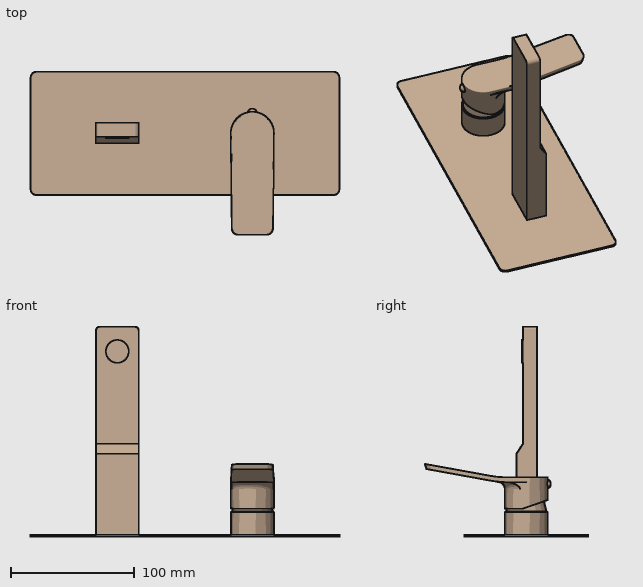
import cadquery as cq
import math

PLATE_LENGTH = 250.0
PLATE_WIDTH = 100.0
PLATE_THICKNESS = 1.5
PLATE_CORNER_RADIUS = 5.0

OVERALL_HEIGHT = 170.0
SPOUT_X = -54.8
SPOUT_WIDTH = 34.8
SPOUT_BACK_Y = 8.8
SPOUT_BASE_DEPTH = 16.8
SPOUT_ARM_DEPTH = 11.5
SPOUT_STEP_LOW_Z = 67.2
SPOUT_STEP_HIGH_Z = 75.2
SPOUT_CORNER_RADIUS = 3.2
OUTLET_RADIUS = 9.2
OUTLET_Z = 150.0
OUTLET_PROUD = 1.0

VALVE_X = 54.5
COLLAR_RADIUS = 17.5
COLLAR_TOP_Z = 20.5
COLLAR_CHAMFER = 0.8
NECK_BASE_RADIUS = 16.5
NECK_TOP_RADIUS = 14.2
NECK_TOP_Z = 30.0

HEAD_RADIUS = COLLAR_RADIUS
HEAD_BOTTOM_Z = 22.8
HEAD_TOP_Z = 48.2
RELIEF_START_Y = -2.8
RELIEF_REAR_Z = 29.8

ARM_THICKNESS = 4.0
ARM_ANGLE = math.radians(10.3)
ARM_BEND_START_Y = -16.8
ARM_BEND_RADIUS = 66.2
ARM_TIP_Y = -82.2
ARM_TIP_UNDERCUT = 1.5
ARM_TIP_HALF_WIDTH = 16.8
ARM_TIP_CORNER_RADIUS = 5.0
ARM_EDGE_FILLET = 0.5
ARM_ROOT_FILLET = 5.5

BUTTON_RADIUS = 3.8
BUTTON_Y = 16.2
BUTTON_Z = 42.8


def make_plate():
    return (
        cq.Workplane("XY")
        .rect(PLATE_LENGTH, PLATE_WIDTH)
        .extrude(PLATE_THICKNESS)
        .edges("|Z")
        .fillet(PLATE_CORNER_RADIUS)
    )


def make_spout():
    base_front_y = SPOUT_BACK_Y - SPOUT_BASE_DEPTH
    arm_front_y = SPOUT_BACK_Y - SPOUT_ARM_DEPTH
    blade = (
        cq.Workplane("YZ", origin=(SPOUT_X, 0, 0))
        .moveTo(SPOUT_BACK_Y, PLATE_THICKNESS)
        .lineTo(base_front_y, PLATE_THICKNESS)
        .lineTo(base_front_y, SPOUT_STEP_LOW_Z)
        .lineTo(arm_front_y, SPOUT_STEP_HIGH_Z)
        .lineTo(arm_front_y, OVERALL_HEIGHT)
        .lineTo(SPOUT_BACK_Y, OVERALL_HEIGHT)
        .close()
        .extrude(SPOUT_WIDTH / 2, both=True)
        .faces(">Z")
        .edges("|Y")
        .fillet(SPOUT_CORNER_RADIUS)
    )
    outlet = (
        cq.Workplane("XZ", origin=(SPOUT_X, arm_front_y, OUTLET_Z))
        .circle(OUTLET_RADIUS)
        .extrude(OUTLET_PROUD)
    )
    return blade.union(outlet)


def make_collar():
    return (
        cq.Workplane("XY", origin=(VALVE_X, 0, PLATE_THICKNESS))
        .circle(COLLAR_RADIUS)
        .extrude(COLLAR_TOP_Z - PLATE_THICKNESS)
        .faces(">Z")
        .chamfer(COLLAR_CHAMFER)
    )


def make_neck():
    neck = cq.Solid.makeCone(
        NECK_BASE_RADIUS,
        NECK_TOP_RADIUS,
        NECK_TOP_Z - COLLAR_TOP_Z,
        pnt=cq.Vector(VALVE_X, 0, COLLAR_TOP_Z),
    )
    return cq.Workplane(neck)


def make_mounting():
    """Plate, spout, collar and neck as one body."""
    return make_plate().union(make_spout()).union(make_collar()).union(make_neck())


def bend_point(radius, angle):
    """Point in (y, z) on an arc around the centre of the arm's bend, above its flat stretch."""
    centre_z = HEAD_TOP_Z + ARM_BEND_RADIUS
    return (ARM_BEND_START_Y - radius * math.sin(angle), centre_z - radius * math.cos(angle))


def make_arm():
    """Bent strip from its side outline, trimmed to its plan outline."""
    bottom_radius = ARM_BEND_RADIUS + ARM_THICKNESS
    bottom_z = HEAD_TOP_Z - ARM_THICKNESS
    top_bend_end = bend_point(ARM_BEND_RADIUS, ARM_ANGLE)
    bottom_bend_end = bend_point(bottom_radius, ARM_ANGLE)
    tip_z = top_bend_end[1] + (top_bend_end[0] - ARM_TIP_Y) * math.tan(ARM_ANGLE)
    tip_bottom_y = ARM_TIP_Y + ARM_TIP_UNDERCUT
    tip_bottom_z = tip_z - ARM_THICKNESS / math.cos(ARM_ANGLE) - ARM_TIP_UNDERCUT * math.tan(ARM_ANGLE)
    strip = (
        cq.Workplane("YZ", origin=(VALVE_X, 0, 0))
        .moveTo(HEAD_RADIUS, HEAD_TOP_Z)
        .lineTo(ARM_BEND_START_Y, HEAD_TOP_Z)
        .threePointArc(bend_point(ARM_BEND_RADIUS, ARM_ANGLE / 2), top_bend_end)
        .lineTo(ARM_TIP_Y, tip_z)
        .lineTo(tip_bottom_y, tip_bottom_z)
        .lineTo(*bottom_bend_end)
        .threePointArc(bend_point(bottom_radius, ARM_ANGLE / 2), (ARM_BEND_START_Y, bottom_z))
        .lineTo(HEAD_RADIUS, bottom_z)
        .close()
        .extrude(HEAD_RADIUS, both=True)
    )
    plan = (
        cq.Workplane("XY", origin=(VALVE_X, 0, 0))
        .moveTo(HEAD_RADIUS, 0)
        .threePointArc((0, HEAD_RADIUS), (-HEAD_RADIUS, 0))
        .lineTo(-ARM_TIP_HALF_WIDTH, ARM_TIP_Y)
        .lineTo(ARM_TIP_HALF_WIDTH, ARM_TIP_Y)
        .close()
        .extrude(OVERALL_HEIGHT)
    )
    arm = strip.intersect(plan)
    rounded = arm.faces("<Y").edges("not |X").fillet(ARM_TIP_CORNER_RADIUS)
    return rounded.edges(">Z").fillet(ARM_EDGE_FILLET)


def make_head():
    """Cylinder under the arm, with the sloped relief below its rear."""
    cylinder = (
        cq.Workplane("XY", origin=(VALVE_X, 0, HEAD_BOTTOM_Z))
        .circle(HEAD_RADIUS)
        .extrude(HEAD_TOP_Z - ARM_THICKNESS - HEAD_BOTTOM_Z)
    )
    relief = (
        cq.Workplane("YZ", origin=(VALVE_X, 0, 0))
        .moveTo(RELIEF_START_Y, HEAD_BOTTOM_Z)
        .lineTo(HEAD_RADIUS, HEAD_BOTTOM_Z)
        .lineTo(HEAD_RADIUS, RELIEF_REAR_Z)
        .close()
        .extrude(HEAD_RADIUS, both=True)
    )
    return cylinder.cut(relief)


def make_arm_root():
    """Concave flare from the front of the head to the arm, no wider than the arm."""
    flare_top_z = HEAD_TOP_Z - ARM_THICKNESS
    flare_bottom_z = flare_top_z - ARM_ROOT_FILLET
    flare_radius = HEAD_RADIUS + ARM_ROOT_FILLET
    arc_offset = ARM_ROOT_FILLET * (1 - math.sqrt(0.5))
    flare = (
        cq.Workplane("XZ", origin=(VALVE_X, 0, 0))
        .moveTo(0, flare_bottom_z)
        .lineTo(HEAD_RADIUS, flare_bottom_z)
        .threePointArc((HEAD_RADIUS + arc_offset, flare_top_z - arc_offset), (flare_radius, flare_top_z))
        .lineTo(flare_radius, flare_top_z + ARM_THICKNESS / 2)
        .lineTo(0, flare_top_z + ARM_THICKNESS / 2)
        .close()
        .revolve(360, (0, 0, 0), (0, 1, 0))
    )
    front_of_head = (
        cq.Workplane("XY", origin=(VALVE_X, -flare_radius / 2, flare_bottom_z))
        .rect(2 * ARM_TIP_HALF_WIDTH, flare_radius)
        .extrude(HEAD_TOP_Z - flare_bottom_z)
    )
    return flare.intersect(front_of_head)


def make_button():
    return cq.Workplane("XY", origin=(VALVE_X, BUTTON_Y, BUTTON_Z)).sphere(BUTTON_RADIUS)


def make_lever():
    """Head, arm and button as one body, hollowed where the neck enters it."""
    lever = make_head().union(make_arm()).union(make_arm_root()).union(make_button())
    return lever.cut(make_neck())


mounting = make_mounting()
lever = make_lever()
result = cq.Compound.makeCompound([mounting.val(), lever.val()])